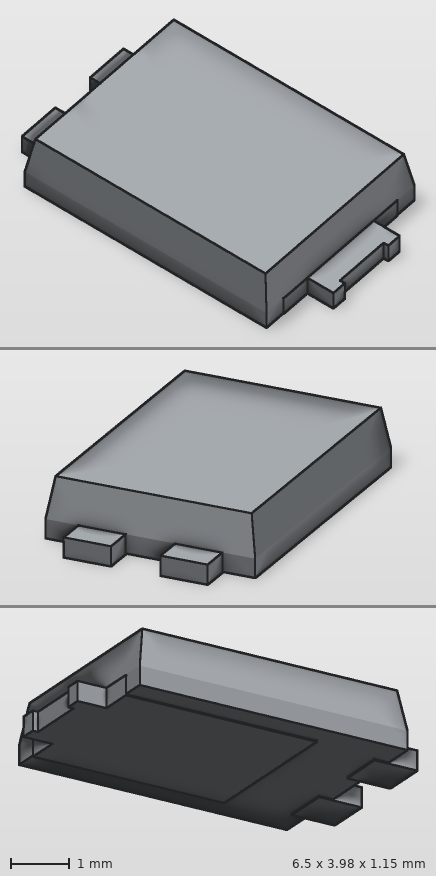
import cadquery as cq

overall_length = 6.5
overall_height = 1.15

housing_length = 5.35
housing_width = 3.98
taper_inset = 0.13
standoff = 0.02

metal_thickness = 0.38
lead_length = 0.86
lead_width = 0.9
lead_pitch = 1.83
pad_length = 4.395
pad_width = 3.055
tab_width = 1.78
notch_depth = 0.105
notch_width = 1.17

outer_x = overall_length / 2
wall_x = housing_length / 2
pad_start_x = outer_x - pad_length
notch_x = outer_x - notch_depth


def make_lead(center_y):
    """Flat rectangular lead running inward from the -X end."""
    return (
        cq.Workplane("XY")
        .center(-outer_x + lead_length / 2, center_y)
        .rect(lead_length, lead_width)
        .extrude(metal_thickness)
    )


def make_thermal_pad():
    """Wide plate under the housing that narrows to a notched tab at the +X end."""
    half_outline = [
        (pad_start_x, 0),
        (pad_start_x, pad_width / 2),
        (wall_x, pad_width / 2),
        (wall_x, tab_width / 2),
        (outer_x, tab_width / 2),
        (outer_x, notch_width / 2),
        (notch_x, notch_width / 2),
        (notch_x, 0),
    ]
    return cq.Workplane("XY").polyline(half_outline).mirrorX().extrude(metal_thickness)


def make_housing(metal_parts):
    """Moulded housing with recesses that fit the metal parts."""
    base = (
        cq.Workplane("XY", origin=(0, 0, standoff))
        .rect(housing_length, housing_width)
        .extrude(metal_thickness - standoff)
    )
    tapered_top = (
        cq.Workplane("XY", origin=(0, 0, metal_thickness))
        .rect(housing_length, housing_width)
        .workplane(offset=overall_height - metal_thickness)
        .rect(housing_length - 2 * taper_inset, housing_width - 2 * taper_inset)
        .loft(ruled=True)
    )
    housing = base.union(tapered_top)
    for metal_part in metal_parts:
        housing = housing.cut(metal_part)
    return housing


leads = [make_lead(side * lead_pitch / 2) for side in (-1, 1)]
thermal_pad = make_thermal_pad()
housing = make_housing([*leads, thermal_pad])

result = cq.Compound.makeCompound(
    [housing.solids().val(), thermal_pad.val(), *[lead.val() for lead in leads]]
)